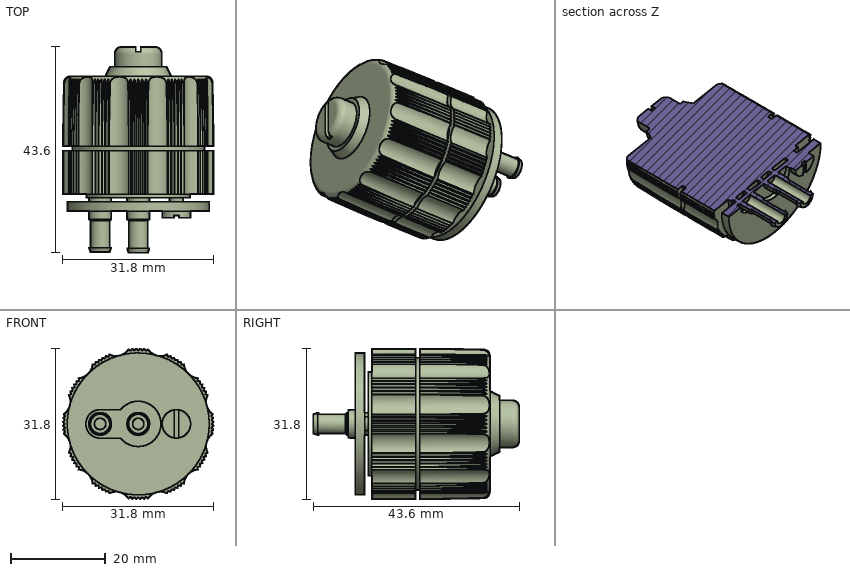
import cadquery as cq
import math

plate_thickness = 2.0
plate_gap = 0.8
flange_thickness = 0.8
ring_length = 9.25
neck_length = 0.9
knob_length = 14.8
cone_length = 2.0
head_length = 4.2

plate_diameter = 30.0
flange_diameter = 21.95
neck_diameter = 28.0
cone_base_diameter = 13.95
cone_top_diameter = 11.95
head_diameter = 10.0
head_round = 1.5

grip_radius = 16.0
knob_draft = 1.0
knob_round = 1.5
flute_count = 12
flute_radius = 3.2
flute_floor_radius = 15.0
grooves_per_lobe = 5
groove_step = 3.0
groove_root_radius = 15.5
groove_depth = 0.65

port_spacing = 8.05
collar_diameter = 4.8
collar_length = 1.7
collar_bevel = 0.35
tube_diameter = 4.1
bore_diameter = 2.4
barb_length = 0.95
barb_diameter = 4.75
barb_end_diameter = 4.1
center_port_length = 8.85
side_port_length = 8.65

recess_depth = 1.0
recess_diameter = 9.6
recess_arm_width = 6.0

screw_head_diameter = 6.0
screw_head_length = 1.45
screw_shank_diameter = 3.0
screw_slot_depth = 0.5
slot_width = 1.0
head_slot_depth = 1.0

plate_back = plate_thickness
flange_front = plate_back + plate_gap
ring_front = flange_front + flange_thickness
ring_back = ring_front + ring_length
knob_front = ring_back + neck_length
knob_back = knob_front + knob_length
head_front = knob_back + cone_length
head_back = head_front + head_length
lobe_angle = 360 / flute_count


def cylinder(diameter, y_front, y_back, x=0):
    """Round bar parallel to Y between two Y positions."""
    return (
        cq.Workplane("XZ", origin=(x, y_back, 0))
        .circle(diameter / 2)
        .extrude(y_back - y_front)
    )


def slot_cutter(x, y_front, depth, length):
    """Screwdriver slot running along Z."""
    return cq.Workplane("XY").box(slot_width, depth, length).translate((x, y_front + depth / 2, 0))


def fluted_bar(y_front, y_back):
    """Straight grip with flutes between the lobes and V grooves on each lobe."""
    length = y_back - y_front
    bar = cylinder(2 * grip_radius, y_front, y_back)
    plane = cq.Workplane("XZ", origin=(0, y_back, 0))
    flute = (
        plane.center(flute_floor_radius + flute_radius, 0)
        .circle(flute_radius)
        .extrude(length)
    )
    rim = groove_root_radius + groove_depth
    groove = (
        plane.moveTo(groove_root_radius, 0)
        .lineTo(rim, groove_depth)
        .lineTo(rim, -groove_depth)
        .close()
        .extrude(length)
    )
    cutters = []
    for lobe in range(flute_count):
        lobe_center = lobe * lobe_angle
        cutters.append(flute.rotate((0, 0, 0), (0, 1, 0), lobe_center + lobe_angle / 2))
        for index in range(grooves_per_lobe):
            angle = lobe_center + (index - (grooves_per_lobe - 1) / 2) * groove_step
            cutters.append(groove.rotate((0, 0, 0), (0, 1, 0), angle))
    return cq.Workplane(bar.val().cut(*[cutter.val() for cutter in cutters]))


def make_knob():
    """Fluted bar trimmed to a tapered outside with a rounded back rim."""
    taper = knob_length * math.tan(math.radians(knob_draft))
    envelope = (
        cq.Workplane("XY")
        .moveTo(0, knob_front)
        .lineTo(grip_radius, knob_front)
        .lineTo(grip_radius - taper, knob_back)
        .lineTo(0, knob_back)
        .close()
        .revolve(360, (0, 0), (0, 1))
        .faces(">Y")
        .edges()
        .fillet(knob_round)
    )
    return fluted_bar(knob_front, knob_back).intersect(envelope)


def make_cone():
    """Shoulder between the knob and the adjusting head."""
    return (
        cq.Workplane("XZ", origin=(0, knob_back, 0))
        .circle(cone_base_diameter / 2)
        .workplane(offset=-cone_length)
        .circle(cone_top_diameter / 2)
        .loft()
    )


def make_head():
    """Slotted adjusting head with a rounded rim."""
    head = cylinder(head_diameter, head_front, head_back).faces(">Y").edges().fillet(head_round)
    return head.cut(slot_cutter(0, head_back - head_slot_depth, head_slot_depth, head_diameter))


def make_port(x, length):
    """Hose barb with a bevelled collar, a straight tube and a tapered lip at its end."""
    collar_radius = collar_diameter / 2
    tube_radius = tube_diameter / 2
    barb_start = barb_length - length
    return (
        cq.Workplane("XY")
        .moveTo(bore_diameter / 2, flange_front)
        .lineTo(collar_radius, flange_front)
        .lineTo(collar_radius, -collar_length)
        .lineTo(tube_radius, -collar_length - collar_bevel)
        .lineTo(tube_radius, barb_start)
        .lineTo(barb_diameter / 2, barb_start)
        .lineTo(barb_end_diameter / 2, -length)
        .lineTo(bore_diameter / 2, -length)
        .close()
        .revolve(360, (0, 0), (0, 1))
        .translate((x, 0, 0))
    )


def make_plate():
    """Cover plate with a keyhole recess."""
    plate = cylinder(plate_diameter, 0, plate_back)
    arm = (
        cq.Workplane("XY")
        .box(port_spacing, recess_depth, recess_arm_width)
        .translate((-port_spacing / 2, recess_depth / 2, 0))
    )
    return (
        plate.cut(cylinder(recess_diameter, 0, recess_depth))
        .cut(arm)
        .cut(cylinder(recess_arm_width, 0, recess_depth, -port_spacing))
    )


def make_screw():
    """Slotted screw that joins the plate to the flange."""
    head = cylinder(screw_head_diameter, -screw_head_length, 0, port_spacing)
    shank = cylinder(screw_shank_diameter, 0, flange_front, port_spacing)
    slot = slot_cutter(port_spacing, -screw_head_length, screw_slot_depth, screw_head_diameter)
    return head.union(shank).cut(slot)


neck = cylinder(neck_diameter, ring_back, knob_front)
flange = cylinder(flange_diameter, flange_front, ring_front)

result = (
    fluted_bar(ring_front, ring_back)
    .union(neck)
    .union(make_knob())
    .union(make_cone())
    .union(make_head())
    .union(flange)
    .union(make_plate())
    .union(make_screw())
    .union(make_port(0, center_port_length))
    .union(make_port(-port_spacing, side_port_length))
)